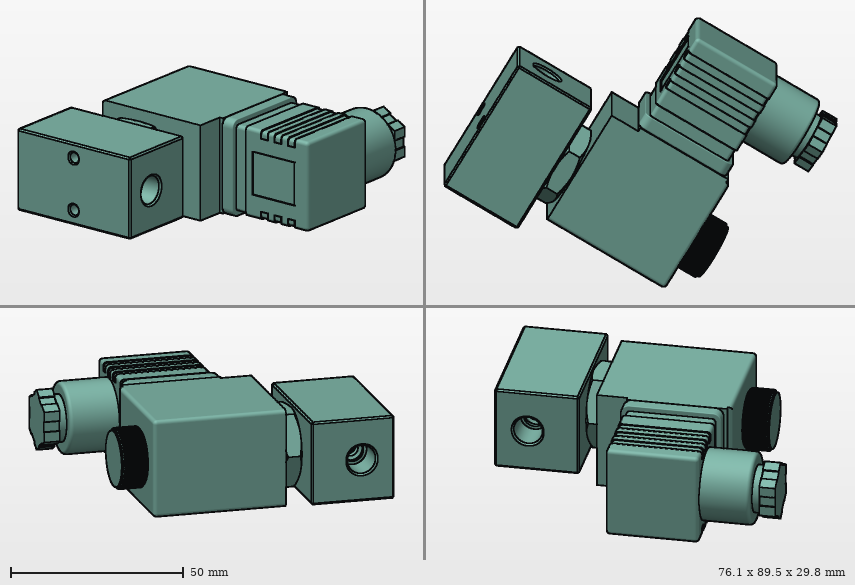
import cadquery as cq
import math


OVERALL_LENGTH = 89.45
DRILL_HALF_ANGLE = math.radians(59)

BLOCK_X = 42.0
BLOCK_SIDE = 25.05
BLOCK_CHAMFER = 0.5
MOUNT_HOLE_PITCH = 16.0
MOUNT_HOLE_DIA = 3.2
MOUNT_HOLE_DEPTH = 6.3
MOUNT_SINK_DIA = 4.1

PORT_Y = 9.8
PORT_SINK_DIA = 9.7
PORT_BORE_DIA = 8.5
PORT_BORE_DEPTH = 9.8
PORT_STEP_DIA = 6.6
PORT_STEP_DEPTH = 11.2
PORT_PASSAGE_DIA = 4.5
PORT_PASSAGE_DEPTH = 14.3

HEX_FLATS = 22.0
HEX_LENGTH = 5.6
HEX_CHAMFER_ANGLE = math.radians(30)

STEM_DIA = 8.6
NUT_COLLAR_DIA = 16.0
NUT_COLLAR_LENGTH = 0.3
KNURL_DIA = 18.0
KNURL_DEPTH = 0.2
KNURL_COUNT = 72
KNURL_LENGTH = 7.4
KNURL_CHAMFER = 0.5
NUT_END_DIA = 16.6
NUT_END_LENGTH = 0.45

COIL_LEFT = -13.8
COIL_RIGHT = 22.6
COIL_LENGTH = 40.0
COIL_HEIGHT = 29.3
COIL_FILLET = 1.2
PAD_THICKNESS = 1.2
PAD_LENGTH = 29.8
PAD_MARGIN = 1.2

PLUG_Y = 53.8
FLANGE_SIDE = 29.8
FLANGE_THICKNESS = 4.3
FLANGE_CORNER = 2.5
FLANGE_COIL_FILLET = 0.7
FLANGE_PLUG_FILLET = 0.3
NECK_SIDE = 26.5
NECK_LENGTH = 3.9
HEAD_SIDE = 27.5
HEAD_RIGHT = 55.1
HEAD_FILLET = 1.2
GROOVE_COUNT = 3
GROOVE_PITCH = 5.0
GROOVE_WIDTH = 2.5
GROOVE_DEPTH = 0.3
GROOVE_REACH = 2.5
LABEL_RIGHT = 50.1
LABEL_X = 15.65
LABEL_Z = 13.2
LABEL_DEPTH = 0.45

GLAND_X = 43.65
GLAND_BARREL_DIA = 21.5
GLAND_BARREL_FILLET = 1.1
GLAND_NECK_DIA = 14.0
GLAND_NECK_LENGTH = 2.3
GLAND_NUT_FLATS = 15.8
GLAND_NUT_LENGTH = 4.7
GLAND_NOTCH_DEPTH = 0.45

HEX_REAR = BLOCK_SIDE + HEX_LENGTH
COIL_REAR = HEX_REAR + COIL_LENGTH
KNURL_FRONT = COIL_REAR + NUT_COLLAR_LENGTH
KNURL_REAR = KNURL_FRONT + KNURL_LENGTH
PAD_RIGHT = COIL_RIGHT + PAD_THICKNESS
FLANGE_RIGHT = PAD_RIGHT + FLANGE_THICKNESS
HEAD_LEFT = FLANGE_RIGHT + NECK_LENGTH
HEAD_FRONT = PLUG_Y - HEAD_SIDE / 2
GLAND_NUT_FRONT = OVERALL_LENGTH - GLAND_NUT_LENGTH
GLAND_BARREL_REAR = GLAND_NUT_FRONT - GLAND_NECK_LENGTH


def box(x_range, y_range, z_range):
    """Box between two limits along each axis."""
    lower, upper = zip(x_range, y_range, z_range)
    size = [high - low for low, high in zip(lower, upper)]
    return cq.Workplane("XY").box(*size, centered=False).translate(lower)


def plane_across_y(y, x=0.0):
    """Workplane at a given Y whose normal is +Y and whose horizontal axis is X."""
    return cq.Workplane(cq.Plane(origin=(x, y, 0), xDir=(1, 0, 0), normal=(0, 1, 0)))


def rod(diameter, y_start, y_end, x=0.0):
    """Cylinder along Y."""
    return plane_across_y(y_start, x).circle(diameter / 2).extrude(y_end - y_start)


def turned(profile):
    """Revolve a profile of (radius, y) points about the stem axis."""
    return cq.Workplane("XY").polyline(profile).close().revolve(360, (0, 0, 0), (0, 1, 0))


def drilled_hole(diameter, depth):
    """Cutter along +Y from the origin: a round hole with a drill point beyond its depth."""
    radius = diameter / 2
    tip = depth + radius / math.tan(DRILL_HALF_ANGLE)
    return turned([(0, 0), (radius, 0), (radius, depth), (0, tip)])


def countersink(mouth_diameter, hole_diameter):
    """Cutter along +Y from the origin: a 45 degree cone from the mouth down to the hole."""
    mouth = mouth_diameter / 2
    hole = hole_diameter / 2
    return turned([(0, 0), (mouth, 0), (hole, mouth - hole), (0, mouth - hole)])



def mount_hole_cutter():
    hole = drilled_hole(MOUNT_HOLE_DIA, MOUNT_HOLE_DEPTH)
    return hole.union(countersink(MOUNT_SINK_DIA, MOUNT_HOLE_DIA))


def port_cutter():
    """Stepped port entering the -X end of the block."""
    port = rod(PORT_BORE_DIA, 0, PORT_BORE_DEPTH)
    port = port.union(countersink(PORT_SINK_DIA, PORT_BORE_DIA))
    port = port.union(drilled_hole(PORT_STEP_DIA, PORT_STEP_DEPTH))
    port = port.union(drilled_hole(PORT_PASSAGE_DIA, PORT_PASSAGE_DEPTH))
    return port.rotate((0, 0, 0), (0, 0, 1), -90).translate((-BLOCK_X / 2, PORT_Y, 0))


def valve_block():
    half_x = BLOCK_X / 2
    half_z = BLOCK_SIDE / 2
    block = box((-half_x, half_x), (0, BLOCK_SIDE), (-half_z, half_z)).edges().chamfer(BLOCK_CHAMFER)
    for side in (-1, 1):
        block = block.cut(mount_hole_cutter().translate((0, 0, side * MOUNT_HOLE_PITCH / 2)))
    port = port_cutter()
    return block.cut(port).cut(port.mirror("YZ"))


def hexagon():
    """Hexagon with flats facing up and down, both ends turned down to a cone."""
    corner = HEX_FLATS / 2 / math.cos(math.pi / 6)
    end_radius = HEX_FLATS / 2
    bevel = (corner - end_radius) * math.tan(HEX_CHAMFER_ANGLE)
    prism = plane_across_y(BLOCK_SIDE).polygon(6, 2 * corner).extrude(HEX_LENGTH)
    envelope = turned([
        (0, BLOCK_SIDE),
        (end_radius, BLOCK_SIDE),
        (corner, BLOCK_SIDE + bevel),
        (corner, HEX_REAR - bevel),
        (end_radius, HEX_REAR),
        (0, HEX_REAR),
    ])
    return prism.intersect(envelope)


def knurled_nut():
    tip = KNURL_DIA / 2
    points = []
    for i in range(2 * KNURL_COUNT):
        radius = tip - KNURL_DEPTH * (i % 2)
        angle = math.pi * i / KNURL_COUNT
        points.append((radius * math.cos(angle), radius * math.sin(angle)))
    grip = plane_across_y(KNURL_FRONT).polyline(points).close().extrude(KNURL_LENGTH)
    envelope = turned([
        (0, KNURL_FRONT),
        (tip - KNURL_CHAMFER, KNURL_FRONT),
        (tip, KNURL_FRONT + KNURL_CHAMFER),
        (tip, KNURL_REAR - KNURL_CHAMFER),
        (tip - KNURL_CHAMFER, KNURL_REAR),
        (0, KNURL_REAR),
    ])
    nut = grip.intersect(envelope)
    nut = nut.union(rod(NUT_COLLAR_DIA, COIL_REAR, KNURL_FRONT))
    return nut.union(rod(NUT_END_DIA, KNURL_REAR, KNURL_REAR + NUT_END_LENGTH))


def make_valve_body():
    stem = rod(STEM_DIA, HEX_REAR, COIL_REAR)
    return valve_block().union(hexagon()).union(stem).union(knurled_nut())



def make_coil():
    z_range = (-COIL_HEIGHT / 2, COIL_HEIGHT / 2)
    coil = box((COIL_LEFT, COIL_RIGHT), (HEX_REAR, COIL_REAR), z_range)
    coil = coil.edges("(|Y and <X) or >Y").fillet(COIL_FILLET)
    pad_rear = COIL_REAR - PAD_MARGIN
    pad_left = COIL_RIGHT - PAD_THICKNESS
    pad = box((pad_left, PAD_RIGHT), (pad_rear - PAD_LENGTH, pad_rear), z_range)
    return coil.union(pad).cut(rod(STEM_DIA, HEX_REAR, COIL_REAR))



def square_bar(side, x_start, x_end):
    """Square bar along X, centred on the plug axis."""
    y_range = (PLUG_Y - side / 2, PLUG_Y + side / 2)
    return box((x_start, x_end), y_range, (-side / 2, side / 2))


def flange():
    plate = square_bar(FLANGE_SIDE, PAD_RIGHT, FLANGE_RIGHT).edges("|X").fillet(FLANGE_CORNER)
    plate = plate.faces("<X").edges().fillet(FLANGE_COIL_FILLET)
    return plate.faces(">X").edges().fillet(FLANGE_PLUG_FILLET)


def head_groove(x_start):
    """Cutter for one groove across the Z faces, wrapping a little way round onto the Y faces."""
    x_end = x_start + GROOVE_WIDTH
    floor_side = HEAD_SIDE - 2 * GROOVE_DEPTH
    floor = square_bar(floor_side, x_start, x_end).edges("|X").fillet(HEAD_FILLET)
    half = HEAD_SIDE / 2
    y_range = (PLUG_Y - half, PLUG_Y + half)
    inner = half - GROOVE_REACH
    plain_middle = box((x_start, x_end), y_range, (-inner, inner))
    return square_bar(HEAD_SIDE, x_start, x_end).cut(floor).cut(plain_middle)


def plug_head():
    head = square_bar(HEAD_SIDE, HEAD_LEFT, HEAD_RIGHT).edges("|X or >X").fillet(HEAD_FILLET)
    for i in range(GROOVE_COUNT):
        head = head.cut(head_groove(LABEL_RIGHT - GROOVE_WIDTH - i * GROOVE_PITCH))
    label = box(
        (LABEL_RIGHT - LABEL_X, LABEL_RIGHT),
        (HEAD_FRONT, HEAD_FRONT + LABEL_DEPTH),
        (-LABEL_Z / 2, LABEL_Z / 2),
    )
    return head.cut(label)


def gland_nut():
    """Hexagon with flats facing -X and +X; the middle third of each flat is notched."""
    corner_dia = GLAND_NUT_FLATS / math.cos(math.pi / 6)
    notch_width = corner_dia / 2 / 3
    nut = plane_across_y(GLAND_NUT_FRONT).polygon(6, corner_dia).extrude(GLAND_NUT_LENGTH)
    nut = nut.rotate((0, 0, 0), (0, 1, 0), 30)
    notch = box(
        (GLAND_NUT_FLATS / 2 - GLAND_NOTCH_DEPTH, GLAND_NUT_FLATS / 2),
        (GLAND_NUT_FRONT, OVERALL_LENGTH),
        (-notch_width / 2, notch_width / 2),
    )
    for i in range(6):
        nut = nut.cut(notch.rotate((0, 0, 0), (0, 1, 0), 60 * i))
    return nut.translate((GLAND_X, 0, 0))


def cable_gland():
    barrel = rod(GLAND_BARREL_DIA, PLUG_Y, GLAND_BARREL_REAR, GLAND_X)
    barrel = barrel.faces(">Y").edges().fillet(GLAND_BARREL_FILLET)
    neck = rod(GLAND_NECK_DIA, GLAND_BARREL_REAR, GLAND_NUT_FRONT, GLAND_X)
    return barrel.union(neck).union(gland_nut())


def make_plug_socket():
    neck = square_bar(NECK_SIDE, FLANGE_RIGHT, HEAD_LEFT).edges("|X").fillet(HEAD_FILLET)
    return flange().union(neck).union(plug_head()).union(cable_gland())


valve_body = make_valve_body()
coil = make_coil()
plug_socket = make_plug_socket()

result = cq.Compound.makeCompound([valve_body.val(), coil.val(), plug_socket.val()])